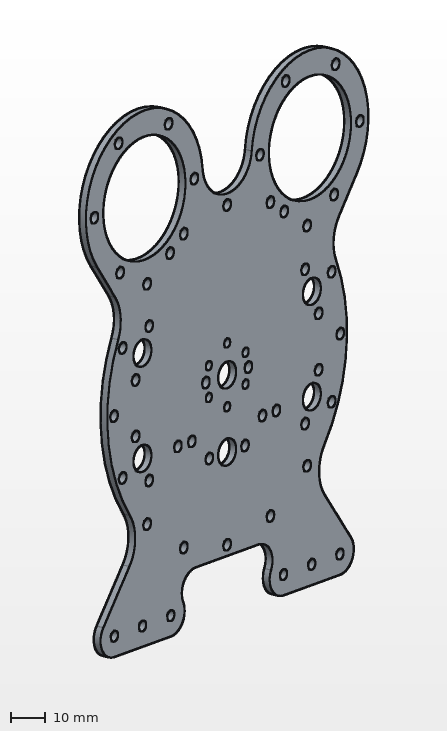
import cadquery as cq
import math

thickness = 2.5
height = 160.9
width = 127.5

body_radius = 54.0
body_center = (0.0, 72.4)

ear_radius = 26.4
ear_opening_diameter = 37.0
ear_center = (width / 2 - ear_radius, height - ear_radius)
valley_radius = 11.1

waist_radius = 12.9
upper_waist_angle = 24.6
lower_waist_angle = -35.7

foot_radius = 6.3
outer_foot_center = (50.8, foot_radius)
inner_foot_center = (25.5, foot_radius)
foot_opening_height = 18.0

screw_diameter = 3.4
foot_screw_diameter = 3.2
body_screw_count = 16
body_screw_radius = 51.0
ear_screw_count = 6
ear_screw_radius = 22.5
ear_screw_angle = -1.0
paired_screw_positions = [(16.0, 56.3), (22.2, 56.3)]

shaft_diameter = 8.0
side_shaft_radius = 41.4
side_shaft_angle = 22.5
side_screw_offset = 7.97
lower_shaft_drop = 23.2
lower_screw_offset = 8.0

hub_ring_radius = 9.57
hub_ring_count = 6
hub_hole_diameter = 2.7


def polar(center, radius, degrees):
    """Point at a radius and angle from a centre, measured from +Y towards +Z."""
    angle = math.radians(degrees)
    return (center[0] + radius * math.cos(angle), center[1] + radius * math.sin(angle))


def direction(start, end):
    """Angle in degrees of the line from start to end."""
    return math.degrees(math.atan2(end[1] - start[1], end[0] - start[0]))


def toward(start, end, distance):
    """Point at a distance from start along the line to end."""
    return polar(start, distance, direction(start, end))


def add_arc(outline, center, radius, start, end):
    """Extend the outline by the shorter arc from start to end."""
    chord_middle = ((start[0] + end[0]) / 2, (start[1] + end[1]) / 2)
    return outline.threePointArc(toward(center, chord_middle, radius), end)


def crossing_tangent(center, radius, waist_center, side):
    """Ends of the line tangent to a corner circle and to a waist circle, crossing between them."""
    spread = math.degrees(math.acos((radius + waist_radius) / math.dist(center, waist_center)))
    corner_angle = direction(center, waist_center) + side * spread
    return polar(center, radius, corner_angle), polar(waist_center, -waist_radius, corner_angle)


def half_plate():
    """The +Y half of the plate, without holes."""
    ear_y, ear_z = ear_center
    valley_rise = math.sqrt((ear_radius + valley_radius) ** 2 - ear_y ** 2)
    valley_center = (0.0, ear_z + valley_rise)
    valley_bottom = (0.0, valley_center[1] - valley_radius)
    valley_end = toward(ear_center, valley_center, ear_radius)

    upper_waist = polar(body_center, body_radius + waist_radius, upper_waist_angle)
    lower_waist = polar(body_center, body_radius + waist_radius, lower_waist_angle)
    body_top = polar(body_center, body_radius, upper_waist_angle)
    body_low = polar(body_center, body_radius, lower_waist_angle)
    ear_tangent, upper_waist_start = crossing_tangent(ear_center, ear_radius, upper_waist, 1)
    foot_tangent, lower_waist_end = crossing_tangent(outer_foot_center, foot_radius, lower_waist, -1)

    corner_z = foot_opening_height - foot_radius
    corner_rise = corner_z - foot_radius
    corner_y = inner_foot_center[0] - math.sqrt((2 * foot_radius) ** 2 - corner_rise ** 2)
    corner_center = (corner_y, corner_z)
    foot_contact = toward(corner_center, inner_foot_center, foot_radius)
    corner_top = (corner_y, foot_opening_height)

    outer_foot_bottom = (outer_foot_center[0], 0.0)
    inner_foot_bottom = (inner_foot_center[0], 0.0)

    outline = cq.Workplane("YZ").moveTo(*valley_bottom)
    outline = add_arc(outline, valley_center, valley_radius, valley_bottom, valley_end)
    outline = outline.threePointArc((ear_y, height), ear_tangent)
    outline = outline.lineTo(*upper_waist_start)
    outline = add_arc(outline, upper_waist, waist_radius, upper_waist_start, body_top)
    outline = add_arc(outline, body_center, body_radius, body_top, body_low)
    outline = add_arc(outline, lower_waist, waist_radius, body_low, lower_waist_end)
    outline = outline.lineTo(*foot_tangent)
    outline = add_arc(outline, outer_foot_center, foot_radius, foot_tangent, outer_foot_bottom)
    outline = outline.lineTo(*inner_foot_bottom)
    outline = add_arc(outline, inner_foot_center, foot_radius, inner_foot_bottom, foot_contact)
    outline = add_arc(outline, corner_center, foot_radius, foot_contact, corner_top)
    outline = outline.lineTo(0.0, foot_opening_height)
    return outline.close().extrude(thickness)


def circle_of_points(center, radius, count, first_angle):
    """Evenly spaced points on a full circle."""
    return [polar(center, radius, first_angle + 360 * i / count) for i in range(count)]


def mirrored(points):
    """The points with their mirror images, leaving single those on the line of symmetry."""
    tolerance = 1.61e-06
    right = [(y, z) for y, z in points if y > tolerance]
    left = [(-y, z) for y, z in right]
    middle = [(0.0, z) for y, z in points if abs(y) <= tolerance]
    return right + left + middle


def drill(plate, points, diameter):
    """Cut through holes at the points and at their mirror images."""
    holes = cq.Workplane("YZ").pushPoints(mirrored(points)).circle(diameter / 2).extrude(thickness)
    return plate.cut(holes)


lower_shaft = (0.0, body_center[1] - lower_shaft_drop)
shafts = [body_center, lower_shaft]

screws = circle_of_points(body_center, body_screw_radius, body_screw_count, 0.0)
screws += circle_of_points(ear_center, ear_screw_radius, ear_screw_count, ear_screw_angle)
screws += paired_screw_positions
screws.append(polar(body_center, hub_ring_radius, 0.0))
screws.append(polar(lower_shaft, lower_screw_offset, 0.0))

for shaft_angle in (side_shaft_angle, -side_shaft_angle):
    side_shaft = polar(body_center, side_shaft_radius, shaft_angle)
    shafts.append(side_shaft)
    screws += circle_of_points(side_shaft, side_screw_offset, 2, shaft_angle + 90)

foot_middle_y = (inner_foot_center[0] + outer_foot_center[0]) / 2
foot_screws = [inner_foot_center, (foot_middle_y, foot_radius), outer_foot_center]

hub_holes = circle_of_points(body_center, hub_ring_radius, hub_ring_count, 90.0)

half = half_plate()
result = half.union(half.mirror("XZ")).clean()
result = drill(result, [ear_center], ear_opening_diameter)
result = drill(result, shafts, shaft_diameter)
result = drill(result, screws, screw_diameter)
result = drill(result, foot_screws, foot_screw_diameter)
result = drill(result, hub_holes, hub_hole_diameter)